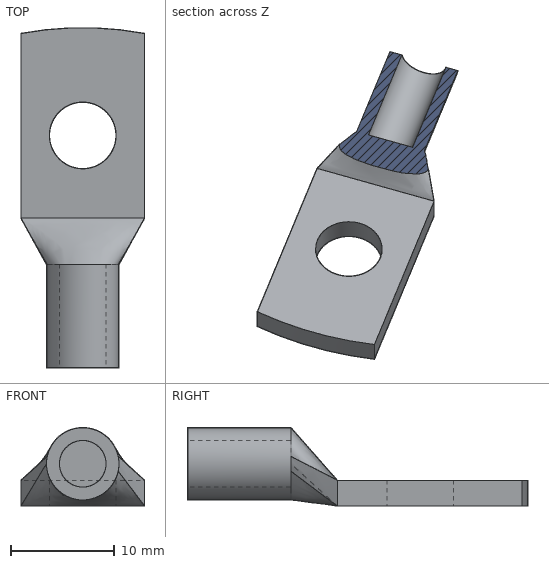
import cadquery as cq

total_length = 32.93
tongue_width = 12.0
tongue_thickness = 2.5
total_height = 7.6

barrel_diameter = 7.0
barrel_length = 9.98
bore_diameter = 4.5
bore_depth = barrel_length
barrel_axis_z = total_height - barrel_diameter / 2

transition_length = 4.5
tongue_start = barrel_length + transition_length
end_arc_rise = 0.55
stud_hole_diameter = 6.42
stud_hole_y = 22.5


def section_plane(y, z):
    """Plane facing +Y, with its local vertical along global Z."""
    return cq.Plane(origin=(0, y, z), xDir=(-1, 0, 0), normal=(0, 1, 0))


def make_barrel():
    return (
        cq.Workplane(section_plane(0, barrel_axis_z))
        .circle(barrel_diameter / 2)
        .extrude(barrel_length)
    )


def make_transition():
    """Loft from the round barrel to the rectangular tongue."""
    return (
        cq.Workplane(section_plane(barrel_length, barrel_axis_z))
        .circle(barrel_diameter / 2)
        .workplane(offset=transition_length)
        .center(0, tongue_thickness / 2 - barrel_axis_z)
        .rect(tongue_width, tongue_thickness)
        .loft(combine=True)
    )


def make_tongue():
    half_width = tongue_width / 2
    corner_y = total_length - end_arc_rise
    return (
        cq.Workplane("XY")
        .moveTo(-half_width, tongue_start)
        .lineTo(half_width, tongue_start)
        .lineTo(half_width, corner_y)
        .threePointArc((0, total_length), (-half_width, corner_y))
        .close()
        .extrude(tongue_thickness)
    )


def make_bore():
    return (
        cq.Workplane(section_plane(0, barrel_axis_z))
        .circle(bore_diameter / 2)
        .extrude(bore_depth)
    )


def make_stud_hole():
    return (
        cq.Workplane("XY")
        .center(0, stud_hole_y)
        .circle(stud_hole_diameter / 2)
        .extrude(tongue_thickness)
    )


lug = make_barrel().union(make_transition()).union(make_tongue())
result = lug.cut(make_bore()).cut(make_stud_hole())